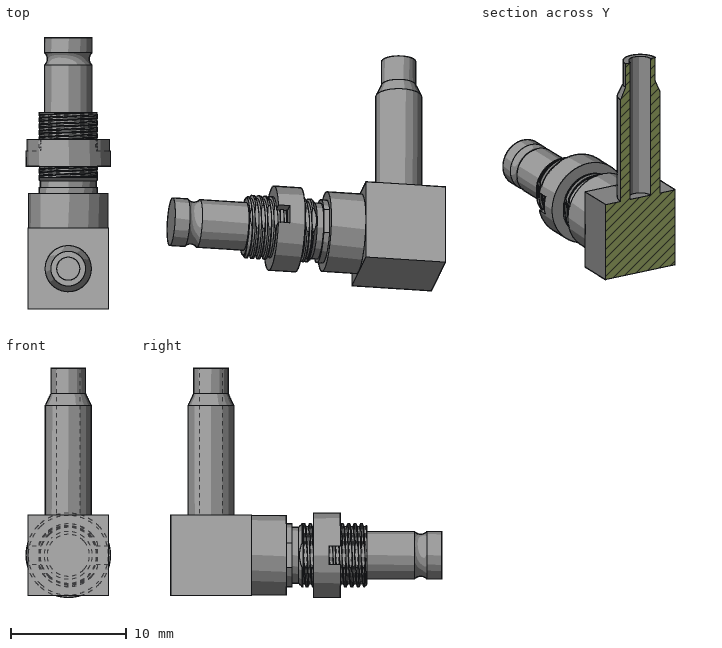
import cadquery as cq


BLOCK_SIZE = 7.0
BLOCK_HALF = BLOCK_SIZE / 2

TUBE_DIAMETER = 4.0
TUBE_TIP_DIAMETER = 3.0
TUBE_BORE_DIAMETER = 2.0
TUBE_TOP_Z = 16.19
TUBE_TIP_LENGTH = 2.19
TUBE_CONE_LENGTH = 1.06

COLLAR_RADIUS = 3.46
COLLAR_END_Y = 6.52
FLANGE_RADIUS = 2.735
FLANGE_END_Y = 7.02
NECK_RADIUS = 2.43
NECK_END_Y = 7.58
BARREL_RADIUS = 2.075
BARREL_END_Y = 20.0

GROOVE_START_Y = 17.61
GROOVE_END_Y = 18.7
GROOVE_DEPTH = 0.25

THREAD_CREST_RADIUS = FLANGE_RADIUS
THREAD_ROOT_RADIUS = 2.49
LEAD_CONE_LENGTH = THREAD_CREST_RADIUS - NECK_RADIUS
LEAD_LAND_LENGTH = 0.1
THREAD_START_Y = NECK_END_Y + LEAD_CONE_LENGTH + LEAD_LAND_LENGTH
THREAD_END_Y = 13.53
THREAD_PITCH = 0.554
RIDGE_BASE_WIDTH = 0.36
RIDGE_CREST_WIDTH = 0.16
RIDGE_OVERLAP = 0.09
TOP_CREST_Y = 13.03
TURNS_BEFORE = 11
TURNS_AFTER = 2
FLATS_WIDTH = 5.03

NUT_DIAMETER = 7.32
NUT_START_Y = 8.86
NUT_END_Y = 11.2
NOTCH_WIDTH = 1.58
NOTCH_DEPTH = 1.0


def revolve_about_y(outline):
    """Turn a closed outline, drawn with X as the radius, about the Y axis."""
    return outline.close().revolve(360, (0, 0, 0), (0, 1, 0))


def cylinder_along_y(radius, start_y, end_y):
    outline = cq.Workplane("XY").moveTo(0, start_y).lineTo(radius, start_y)
    return revolve_about_y(outline.lineTo(radius, end_y).lineTo(0, end_y))


def cut_side_flats(body):
    """Keep only the part of a round body between two flats facing -X and +X."""
    slab = cq.Workplane("XY").box(FLATS_WIDTH, 2 * BARREL_END_Y, BLOCK_SIZE)
    return body.intersect(slab)


def make_cable_tube():
    tube_radius = TUBE_DIAMETER / 2
    tip_radius = TUBE_TIP_DIAMETER / 2
    cone_top_z = TUBE_TOP_Z - TUBE_TIP_LENGTH
    cone_base_z = cone_top_z - TUBE_CONE_LENGTH
    outline = (
        cq.Workplane("XZ")
        .lineTo(tube_radius, 0)
        .lineTo(tube_radius, cone_base_z)
        .lineTo(tip_radius, cone_top_z)
        .lineTo(tip_radius, TUBE_TOP_Z)
        .lineTo(0, TUBE_TOP_Z)
        .close()
    )
    return outline.revolve(360, (0, 0, 0), (0, 1, 0))


def make_cable_bore():
    """Blind bore from the tube mouth down to the top face of the block."""
    bore = cq.Workplane("XY").workplane(offset=BLOCK_HALF).circle(TUBE_BORE_DIAMETER / 2)
    return bore.extrude(TUBE_TOP_Z - BLOCK_HALF)


def make_barrel():
    """Smooth barrel with the latch groove, running back through the thread and neck."""
    groove_middle_y = (GROOVE_START_Y + GROOVE_END_Y) / 2
    outline = (
        cq.Workplane("XY")
        .lineTo(BARREL_RADIUS, 0)
        .lineTo(BARREL_RADIUS, GROOVE_START_Y)
        .threePointArc((BARREL_RADIUS - GROOVE_DEPTH, groove_middle_y), (BARREL_RADIUS, GROOVE_END_Y))
        .lineTo(BARREL_RADIUS, BARREL_END_Y)
        .lineTo(0, BARREL_END_Y)
    )
    return revolve_about_y(outline)


def make_thread_ridge():
    """Helical trapezoid ridge about Z that starts on the +X side at Z = 0."""
    flank_slope = (RIDGE_BASE_WIDTH - RIDGE_CREST_WIDTH) / 2 / (THREAD_CREST_RADIUS - THREAD_ROOT_RADIUS)
    inner_radius = THREAD_ROOT_RADIUS - RIDGE_OVERLAP
    inner_half_width = RIDGE_BASE_WIDTH / 2 + flank_slope * RIDGE_OVERLAP
    crest_half_width = RIDGE_CREST_WIDTH / 2
    helix_length = (TURNS_BEFORE + TURNS_AFTER) * THREAD_PITCH
    helix = cq.Wire.makeHelix(THREAD_PITCH, helix_length, THREAD_ROOT_RADIUS)
    profile = cq.Workplane("XZ").polyline(
        [
            (inner_radius, -inner_half_width),
            (THREAD_CREST_RADIUS, -crest_half_width),
            (THREAD_CREST_RADIUS, crest_half_width),
            (inner_radius, inner_half_width),
        ]
    )
    return profile.close().sweep(cq.Workplane(obj=helix), isFrenet=True)


def make_thread_lead():
    """Plain 45-degree cone and a short land between the neck and the first thread turn."""
    outline = (
        cq.Workplane("XY")
        .moveTo(0, NECK_END_Y)
        .lineTo(NECK_RADIUS, NECK_END_Y)
        .lineTo(THREAD_CREST_RADIUS, NECK_END_Y + LEAD_CONE_LENGTH)
        .lineTo(THREAD_CREST_RADIUS, THREAD_START_Y)
        .lineTo(0, THREAD_START_Y)
    )
    return cut_side_flats(revolve_about_y(outline))


def make_thread_envelope():
    """Solid with a flat start and a 45-degree cone at the end; it clears the crest elsewhere."""
    clear_radius = BLOCK_HALF
    end_cone_length = clear_radius - THREAD_ROOT_RADIUS
    return revolve_about_y(
        cq.Workplane("XY")
        .moveTo(0, THREAD_START_Y)
        .lineTo(clear_radius, THREAD_START_Y)
        .lineTo(clear_radius, THREAD_END_Y - end_cone_length)
        .lineTo(THREAD_ROOT_RADIUS, THREAD_END_Y)
        .lineTo(0, THREAD_END_Y)
    )


def make_thread():
    """Over-long core and ridge, trimmed to length with a chamfered end and side flats."""
    ridge_start_y = TOP_CREST_Y - TURNS_BEFORE * THREAD_PITCH
    ridge_end_y = TOP_CREST_Y + TURNS_AFTER * THREAD_PITCH
    ridge = (
        make_thread_ridge()
        .rotate((0, 0, 0), (0, 0, 1), -90)
        .rotate((0, 0, 0), (1, 0, 0), -90)
        .translate((0, ridge_start_y, 0))
    )
    core = cylinder_along_y(
        THREAD_ROOT_RADIUS, ridge_start_y - THREAD_PITCH, ridge_end_y + THREAD_PITCH
    )
    return cut_side_flats(core.union(ridge).intersect(make_thread_envelope()))


def make_nut():
    """Nut disc slotted across its outer end; the thread fills the middle of the slot."""
    nut = cylinder_along_y(NUT_DIAMETER / 2, NUT_START_Y, NUT_END_Y)
    notch_middle_y = NUT_END_Y - NOTCH_DEPTH / 2
    notch = cq.Workplane("XY").box(NUT_DIAMETER, NOTCH_DEPTH, NOTCH_WIDTH)
    return nut.cut(notch.translate((0, notch_middle_y, 0)))


def make_plug():
    collar = cylinder_along_y(COLLAR_RADIUS, 0, COLLAR_END_Y)
    flange = cut_side_flats(cylinder_along_y(FLANGE_RADIUS, COLLAR_END_Y, FLANGE_END_Y))
    neck = cylinder_along_y(NECK_RADIUS, FLANGE_END_Y, NECK_END_Y)
    plug = make_barrel().union(collar).union(flange).union(neck)
    return plug.union(make_thread_lead()).union(make_thread()).union(make_nut())


block = cq.Workplane("XY").box(BLOCK_SIZE, BLOCK_SIZE, BLOCK_SIZE)
result = block.union(make_plug()).union(make_cable_tube()).cut(make_cable_bore())